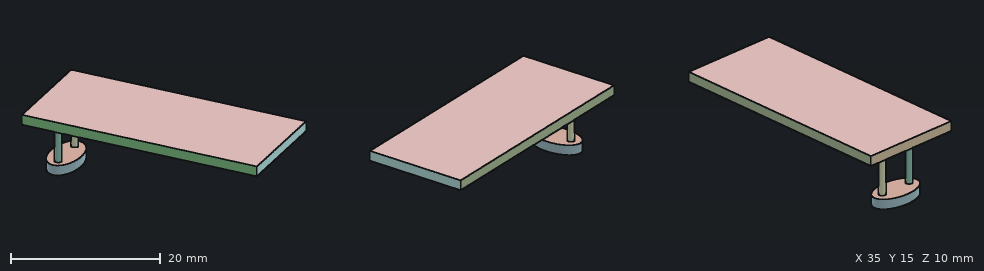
import cadquery as cq

plate_length = 35
plate_width = 15.0
plate_thickness = 1.5
overall_height = 10.0

foot_width = 4.55
foot_length = 7.98
foot_thickness = 1.5
foot_offset = 2.9
foot_shift = 0.07
pin_diameter = 1.0
pin_spacing = 5.0
pin_offset = 2.98

plate_bottom = overall_height - plate_thickness
plate_left = -plate_length / 2


def make_plate():
    return (
        cq.Workplane("XY", origin=(0, 0, plate_bottom))
        .rect(plate_length, plate_width)
        .extrude(plate_thickness)
    )


def make_foot():
    return (
        cq.Workplane("XY", origin=(plate_left + foot_offset, foot_shift, 0))
        .ellipse(foot_width / 2, foot_length / 2)
        .extrude(foot_thickness)
    )


def make_pins():
    return (
        cq.Workplane("XY", origin=(plate_left + pin_offset, 0, foot_thickness))
        .pushPoints([(0, -pin_spacing / 2), (0, pin_spacing / 2)])
        .circle(pin_diameter / 2)
        .extrude(plate_bottom - foot_thickness)
    )


result = make_plate().union(make_pins()).union(make_foot())